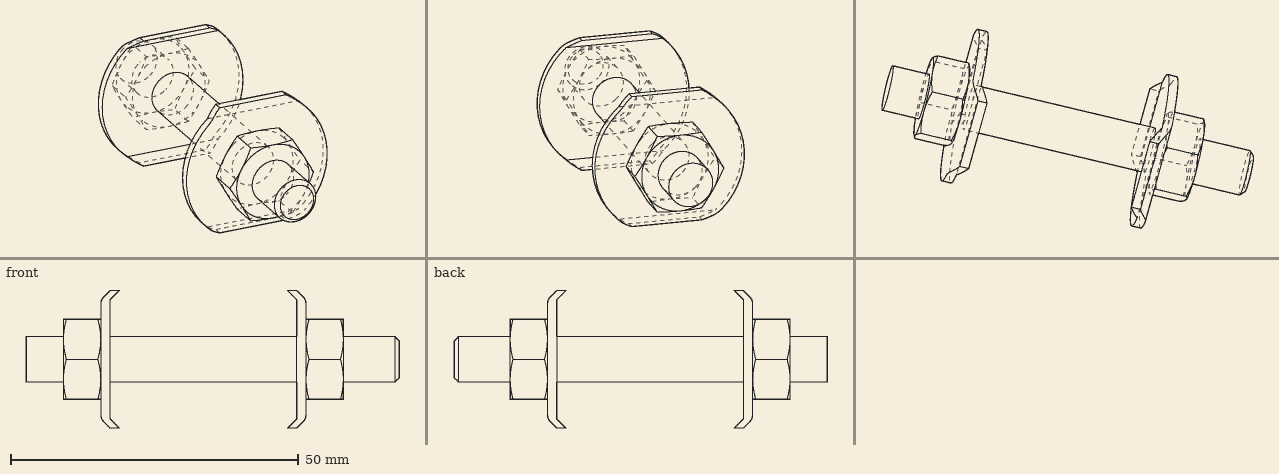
import cadquery as cq
import math

rod_length = 65.0
rod_diameter = 8.0
rod_chamfer = 0.8

nut_start = 6.5
far_nut_end = 55.25
nut_thickness = 6.5
nut_across_flats = 14.0
nut_across_corners = nut_across_flats / math.cos(math.radians(30))
nut_chamfer_angle = 25.0

plate_diameter = 27.2
plate_height = 24.0
plate_thickness = 1.6
bend_angle = math.radians(45)


def make_rod():
    rod = cq.Workplane("YZ").circle(rod_diameter / 2).extrude(rod_length)
    return rod.faces(">X").chamfer(rod_chamfer)


def make_nut():
    """Hexagon whose corners are cut by a cone at both ends."""
    hexagon = (
        cq.Workplane("YZ", origin=(nut_start, 0, 0))
        .polygon(6, nut_across_corners)
        .extrude(nut_thickness)
    )
    face_radius = nut_across_flats / 2
    corner_radius = nut_across_corners / 2
    cone_depth = (corner_radius - face_radius) * math.tan(math.radians(nut_chamfer_angle))
    nut_end = nut_start + nut_thickness
    envelope = (
        cq.Workplane("XY")
        .moveTo(nut_start, 0)
        .lineTo(nut_start, face_radius)
        .lineTo(nut_start + cone_depth, corner_radius)
        .lineTo(nut_end - cone_depth, corner_radius)
        .lineTo(nut_end, face_radius)
        .lineTo(nut_end, 0)
        .close()
        .revolve(360, (0, 0, 0), (1, 0, 0))
    )
    return hexagon.intersect(envelope)


def make_plate():
    """Bent strip profile in XZ, trimmed to a disc about the rod axis."""
    outer_x = nut_start + nut_thickness
    inner_x = outer_x + plate_thickness
    tip_x = inner_x + plate_thickness
    tip_z = plate_height / 2
    inner_bend_z = tip_z - plate_thickness

    bend_radius = plate_thickness
    bend_center_z = tip_z - bend_radius / math.cos(bend_angle)

    def arc_point(angle):
        return (inner_x - bend_radius * math.cos(angle), bend_center_z + bend_radius * math.sin(angle))

    upper_half = (
        cq.Workplane("XZ")
        .moveTo(outer_x, 0)
        .lineTo(outer_x, bend_center_z)
        .threePointArc(arc_point(bend_angle / 2), arc_point(bend_angle))
        .lineTo(inner_x, tip_z)
        .lineTo(tip_x, tip_z)
        .lineTo(inner_x, inner_bend_z)
        .lineTo(inner_x, 0)
        .close()
        .extrude(plate_diameter / 2, both=True)
    )
    strip = upper_half.union(upper_half.mirror("XY"))
    disc = cq.Workplane("YZ", origin=(outer_x, 0, 0)).circle(plate_diameter / 2).extrude(tip_x - outer_x)
    return strip.intersect(disc)


fittings_middle = (nut_start + far_nut_end) / 2
result = make_rod()
for fitting in (make_nut(), make_plate()):
    opposite = fitting.mirror("YZ", (fittings_middle, 0, 0))
    result = result.union(fitting).union(opposite)